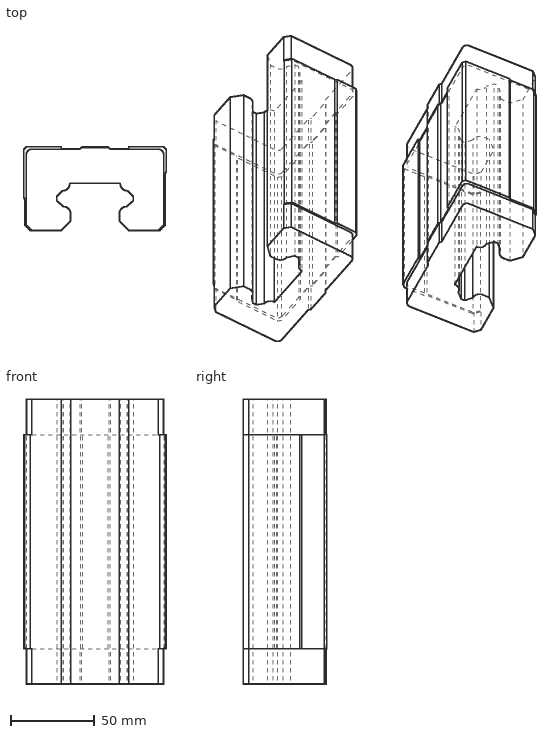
import cadquery as cq


total_length = 171.5
block_length = 128.8

block_width = 86.0
block_height = 50.5
block_top_chamfer = 1.7
block_bottom_chamfer = 3.3
side_relief = 0.8
step_slope_height = 1.2
left_step_height = 20.0
right_step_height = 35.4
top_relief_depth = 1.2
top_relief_half_width = 20.2
top_pad_half_width = 7.6

cap_width = 82.6
cap_top = block_height - 1.6
cap_top_fillet = 3.0
cap_bottom_chamfer = 3.3
cap_pad_top = block_height - 0.5
cap_pad_half_width = 8.2

channel_roof = 28.4
roof_half_width = 14.6
lip_half_width = 14.6
upper_throat_half_width = 15.1
mouth_half_width = 20.4
waist_half_width = 22.9
waist_height = 19.2
waist_flat = 2.6
nose_radius = 4.4
nose_offset = 4.7


def block_outline():
    """Section of the steel block, with a stepped flank on each side."""
    half = block_width / 2
    lower_half = half - side_relief
    foot_half = lower_half - block_bottom_chamfer
    shoulder_half = half - block_top_chamfer
    shoulder_height = block_height - block_top_chamfer
    relief_floor = block_height - top_relief_depth
    return (
        cq.Workplane("XY")
        .moveTo(-foot_half, 0)
        .lineTo(foot_half, 0)
        .lineTo(lower_half, block_bottom_chamfer)
        .lineTo(lower_half, right_step_height - step_slope_height)
        .lineTo(half, right_step_height)
        .lineTo(half, shoulder_height)
        .lineTo(shoulder_half, block_height)
        .lineTo(top_relief_half_width, block_height)
        .lineTo(top_relief_half_width, relief_floor)
        .lineTo(top_pad_half_width + top_relief_depth, relief_floor)
        .lineTo(top_pad_half_width, block_height)
        .lineTo(-top_pad_half_width, block_height)
        .lineTo(-top_pad_half_width - top_relief_depth, relief_floor)
        .lineTo(-top_relief_half_width, relief_floor)
        .lineTo(-top_relief_half_width, block_height)
        .lineTo(-shoulder_half, block_height)
        .lineTo(-half, shoulder_height)
        .lineTo(-half, left_step_height)
        .lineTo(-lower_half, left_step_height - step_slope_height)
        .lineTo(-lower_half, block_bottom_chamfer)
        .close()
    )


def end_caps():
    """The two end caps: a full-length bar with the stretch inside the block removed."""
    pad_rise = cap_pad_top - cap_top
    bar = cq.Workplane("XY").box(cap_width, cap_top, total_length, centered=(True, False, True))
    bar = bar.edges("|Z and >Y").fillet(cap_top_fillet)
    bar = bar.edges("|Z and <Y").chamfer(cap_bottom_chamfer)
    pad = (
        cq.Workplane("XY")
        .moveTo(-cap_pad_half_width - pad_rise, cap_top)
        .lineTo(cap_pad_half_width + pad_rise, cap_top)
        .lineTo(cap_pad_half_width, cap_pad_top)
        .lineTo(-cap_pad_half_width, cap_pad_top)
        .close()
        .extrude(total_length / 2, both=True)
    )
    middle = cq.Workplane("XY").box(2 * block_width, 3 * block_height, block_length)
    return bar.union(pad).cut(middle)


def half_channel():
    """Half of the rail channel on the +X side of the centre plane."""
    lip_bottom = mouth_half_width - lip_half_width
    lower_nose = waist_height - nose_offset
    upper_nose = waist_height + nose_offset
    return (
        cq.Workplane("XY")
        .lineTo(mouth_half_width, 0)
        .lineTo(lip_half_width, lip_bottom)
        .lineTo(lip_half_width, lower_nose - nose_radius)
        .radiusArc((lip_half_width + nose_radius, lower_nose), nose_radius)
        .lineTo(waist_half_width, waist_height - waist_flat / 2)
        .lineTo(waist_half_width, waist_height + waist_flat / 2)
        .lineTo(upper_throat_half_width + nose_radius, upper_nose)
        .radiusArc((upper_throat_half_width, upper_nose + nose_radius), nose_radius)
        .lineTo(roof_half_width, channel_roof)
        .lineTo(0, channel_roof)
        .close()
        .extrude(total_length / 2, both=True)
    )


block = block_outline().extrude(block_length / 2, both=True)
right_channel = half_channel()
channel = right_channel.union(right_channel.mirror("YZ"))
result = block.union(end_caps()).cut(channel)